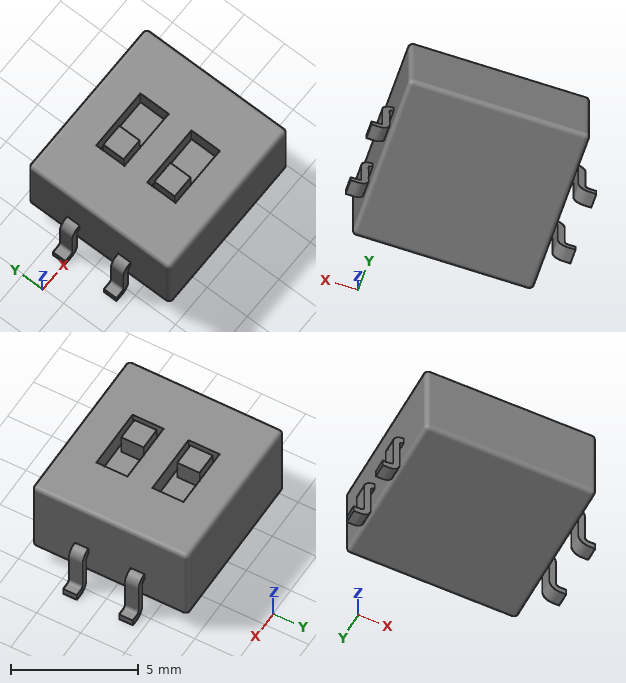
import cadquery as cq

overall_length = 9.3
pitch = 2.54
position_ys = (-pitch / 2, pitch / 2)

housing_length = 7.48
housing_width = 7.06
housing_top = 4.45
standoff = 0.8
housing_height = housing_top - standoff
edge_radius = 0.195

pocket_length = 2.8
pocket_width = 1.4
pocket_depth = 0.89
pocket_floor = housing_top - pocket_depth

knob_clearance = 0.195
knob_size = pocket_width - 2 * knob_clearance
knob_x = -pocket_length / 2 + knob_clearance + knob_size / 2
base_thickness = 0.37
base_width = pitch + pocket_width

lead_width = 0.62
lead_thickness = 0.3
lead_top = 2.2
foot_length = 0.45
inner_bend = 0.15
outer_bend = inner_bend + lead_thickness


def block(length, width, height, x, y, bottom):
    """Rectangular block centred on (x, y) and standing on the given height."""
    return cq.Workplane("XY").box(length, width, height, centered=(True, True, False)).translate((x, y, bottom))


def make_actuator():
    """Base slab carrying one knob per switch position, flush with the housing top."""
    actuator = block(pocket_length, base_width, base_thickness, 0, 0, pocket_floor - base_thickness)
    for y in position_ys:
        actuator = actuator.union(block(knob_size, knob_size, pocket_depth, knob_x, y, pocket_floor))
    return actuator


def make_housing():
    """Rounded box with two open pockets above a cavity that fits the actuator base."""
    housing = block(housing_length, housing_width, housing_height, 0, 0, standoff).edges().fillet(edge_radius)
    housing = housing.cut(
        block(pocket_length, base_width, base_thickness, 0, 0, pocket_floor - base_thickness)
    )
    for y in position_ys:
        housing = housing.cut(block(pocket_length, pocket_width, pocket_depth, 0, y, pocket_floor))
    return housing


def make_lead(y):
    """Z-shaped lead on the -X side, ending against the housing wall."""
    tip_x = -overall_length / 2
    upright_outer = tip_x + foot_length
    upright_inner = upright_outer + lead_thickness
    wall_x = -housing_length / 2
    outline = [
        (tip_x, 0),
        (upright_inner, 0),
        (upright_inner, lead_top - lead_thickness),
        (wall_x, lead_top - lead_thickness),
        (wall_x, lead_top),
        (upright_outer, lead_top),
        (upright_outer, lead_thickness),
        (tip_x, lead_thickness),
    ]
    lead = cq.Workplane("XZ", origin=(0, y, 0)).polyline(outline).close().extrude(lead_width / 2, both=True)

    def bend_edge(x, z):
        return cq.selectors.NearestToPointSelector((x, y, z))

    lead = lead.edges("|Y").edges(bend_edge(upright_inner, 0)).fillet(outer_bend)
    lead = lead.edges("|Y").edges(bend_edge(upright_outer, lead_top)).fillet(outer_bend)
    lead = lead.edges("|Y").edges(bend_edge(upright_outer, lead_thickness)).fillet(inner_bend)
    return lead.edges("|Y").edges(bend_edge(upright_inner, lead_top - lead_thickness)).fillet(inner_bend)


housing = make_housing().solids()
actuator = make_actuator().solids()

leads = []
for position_y in position_ys:
    left_lead = make_lead(position_y).solids()
    leads.append(left_lead.val())
    leads.append(left_lead.val().mirror("YZ"))

result = cq.Compound.makeCompound([housing.val(), actuator.val(), *leads])